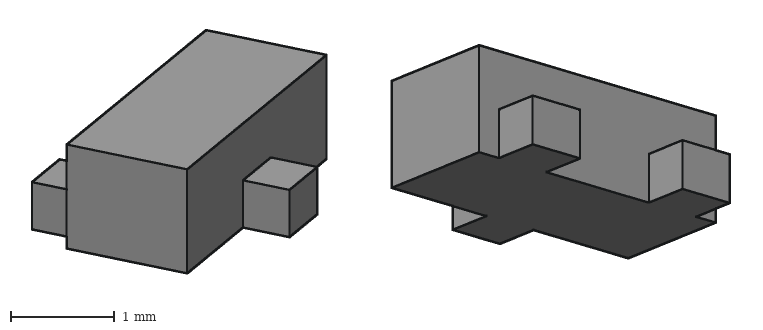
import cadquery as cq

overall_width = 2.3
body_length = 3.0
body_height = 1.1

lead_reach = 0.5
lead_width = 0.6
lead_height = 0.5
lead_pitch = 1.9

body_width = overall_width - 2 * lead_reach


def block_on_base(size_x, size_y, size_z, center_x=0, center_y=0):
    """Rectangular block standing on the base plane Z = 0."""
    block = cq.Workplane("XY").box(size_x, size_y, size_z, centered=(True, True, False))
    return block.translate((center_x, center_y, 0))


def lead(side, center_y):
    """Lead on the -X side (side = -1) or +X side (side = 1) of the body."""
    center_x = side * (body_width + lead_reach) / 2
    return block_on_base(lead_reach, lead_width, lead_height, center_x, center_y)


result = block_on_base(body_width, body_length, body_height)

for side, center_y in [(-1, -lead_pitch / 2), (-1, lead_pitch / 2), (1, 0)]:
    result = result.union(lead(side, center_y))